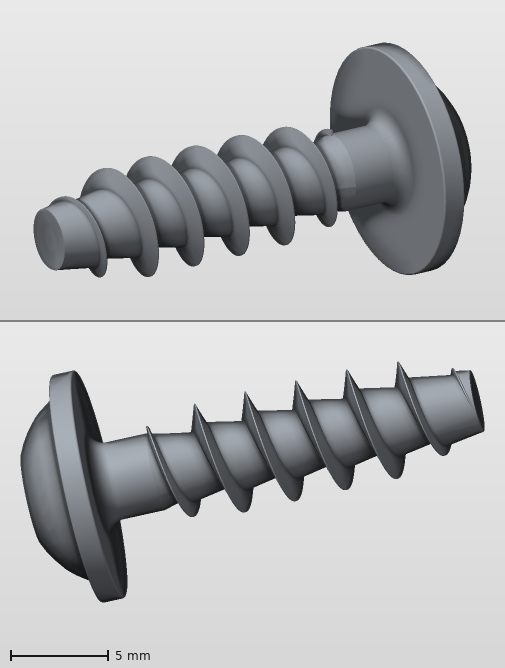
import cadquery as cq
import math

FLANGE_RADIUS = 6.0
FLANGE_THICKNESS = 1.2
FLANGE_EDGE_ROUND = 0.1
DOME_RADIUS = 5.0
DOME_FLAT_RADIUS = 2.4
DOME_BULGE = 0.3
HEAD_HEIGHT = 3.6

SHANK_RADIUS = 2.03
SHANK_LENGTH = 3.0
NECK_FILLET = 0.8
SCREW_LENGTH = 20.0

CORE_MIN_RADIUS = 1.6
CORE_MAX_RADIUS = 1.94
CORE_OVERLAP = 0.01
RUNOUT_LENGTH = 1.6
TIP_RADIUS = 1.62
TIP_DIMPLE_RADIUS = 1.5
TIP_DIMPLE_DEPTH = 0.1
TIP_TRIM_LENGTH = 5.0
TIP_CONE_SLOPE = 0.167

PITCH = 2.69
CREST_RADIUS = 3.03
CREST_HALF_WIDTH = 0.03
UPPER_FLANK_SLOPE = 0.3
LOWER_FLANK_SLOPE = 0.33
THREAD_START = 2.6
START_EDGE_STEP = 0.06
THREAD_END = 19.9
MIN_LOWER_HEIGHT = 0.1
LEAD_IN_RADIUS = 2.3
LEAD_IN_SLOPE = 0.22
RUN_OUT_START = 15.95
RUN_OUT_SLOPE = 0.35
CREST_DEPTH_AT_PLUS_X = 4.55
SEAM_DEPTH = CREST_DEPTH_AT_PLUS_X - PITCH / 8
RIBBON_INNER_RADIUS = 1.0
TURN_GAP = 0.02
POINTS_PER_TURN = 24


def crest_radius(depth):
    """Crest radius at an axial depth below the head, tapered at both thread ends."""
    lead_in = LEAD_IN_RADIUS + LEAD_IN_SLOPE * (depth - THREAD_START)
    run_out = CREST_RADIUS - RUN_OUT_SLOPE * (depth - RUN_OUT_START)
    return max(CORE_MIN_RADIUS, min(CREST_RADIUS, lead_in, run_out))


def tip_cone_radius(depth):
    return TIP_RADIUS + TIP_CONE_SLOPE * (SCREW_LENGTH - depth)


def upper_root_depth(depth):
    height = crest_radius(depth) - CORE_MIN_RADIUS + CORE_OVERLAP
    return depth - CREST_HALF_WIDTH - UPPER_FLANK_SLOPE * height


def profile(depth):
    """(depth, radius) corners of one thread turn and the core cone that follows it."""
    crest = crest_radius(depth)
    upper_root = upper_root_depth(depth)
    lower_height = max(MIN_LOWER_HEIGHT, crest - CORE_MAX_RADIUS)
    lower_root = depth + CREST_HALF_WIDTH + LOWER_FLANK_SLOPE * lower_height
    next_root = upper_root_depth(depth + PITCH) - TURN_GAP
    lower_radius = min(CORE_MAX_RADIUS, tip_cone_radius(lower_root))
    next_radius = min(CORE_MIN_RADIUS - CORE_OVERLAP, tip_cone_radius(next_root))
    corners = [
        (upper_root, RIBBON_INNER_RADIUS),
        (upper_root, CORE_MIN_RADIUS - CORE_OVERLAP),
        (depth - CREST_HALF_WIDTH, crest),
        (depth + CREST_HALF_WIDTH, crest),
        (lower_root, lower_radius),
        (next_root, next_radius),
        (next_root, RIBBON_INNER_RADIUS),
    ]
    flat_depths = [SHANK_LENGTH + START_EDGE_STEP * max(0, i - 2) for i in range(len(corners))]
    return [(max(d, flat), r) for (d, r), flat in zip(corners, flat_depths)]


def section_points(depth):
    """Profile corners placed on the meridian plane that the helix reaches at this depth."""
    angle = -2 * math.pi * (CREST_DEPTH_AT_PLUS_X - depth) / PITCH
    return [cq.Vector(r * math.cos(angle), -d, r * math.sin(angle)) for d, r in profile(depth)]


def track_faces(start, end):
    """Ruled faces that join neighbouring profile corners between two depths."""
    steps = math.ceil((end - start) / PITCH * POINTS_PER_TURN)
    sections = [section_points(start + (end - start) * i / steps) for i in range(steps + 1)]
    edges = [cq.Edge.makeSpline(list(track)) for track in zip(*sections)]
    return [cq.Face.makeRuledSurface(a, b) for a, b in zip(edges, edges[1:] + edges[:1])]


def end_face(depth):
    return cq.Face.makeFromWires(cq.Wire.makePolygon(section_points(depth), close=True))


def make_thread():
    """Helical ribbon of the thread and tapered core, built turn by turn."""
    full_turns = math.floor((THREAD_END - SEAM_DEPTH) / PITCH)
    seams = [SEAM_DEPTH + PITCH * turn for turn in range(full_turns + 1)]
    stops = [THREAD_START] + seams + [THREAD_END]
    faces = [end_face(THREAD_START), end_face(THREAD_END)]
    for start, end in zip(stops, stops[1:]):
        faces.extend(track_faces(start, end))
    ribbon = cq.Solid.makeSolid(cq.Shell.makeShell(faces))
    return cq.Workplane(obj=ribbon.fix())


def make_tip_trim():
    """Tool that cuts the overlong core and thread to a flat tip rim around a shallow dimple."""
    dimple_sphere_radius = (TIP_DIMPLE_RADIUS**2 + TIP_DIMPLE_DEPTH**2) / (2 * TIP_DIMPLE_DEPTH)
    return (
        cq.Workplane("XY")
        .moveTo(0, TIP_DIMPLE_DEPTH - SCREW_LENGTH)
        .radiusArc((TIP_DIMPLE_RADIUS, -SCREW_LENGTH), dimple_sphere_radius)
        .lineTo(FLANGE_RADIUS, -SCREW_LENGTH)
        .lineTo(FLANGE_RADIUS, -SCREW_LENGTH - TIP_TRIM_LENGTH)
        .lineTo(0, -SCREW_LENGTH - TIP_TRIM_LENGTH)
        .close()
        .revolve(360, (0, 0, 0), (0, 1, 0))
    )


def make_body():
    """Head, filleted neck, shank and overlong plain core as one revolved outline."""
    mid_radius = (DOME_RADIUS + DOME_FLAT_RADIUS) / 2
    mid_height = (FLANGE_THICKNESS + HEAD_HEIGHT) / 2
    chord_r = DOME_RADIUS - DOME_FLAT_RADIUS
    chord_y = HEAD_HEIGHT - FLANGE_THICKNESS
    chord = math.hypot(chord_r, chord_y)
    dome_mid = (mid_radius + DOME_BULGE * chord_y / chord, mid_height + DOME_BULGE * chord_r / chord)
    neck_reach = NECK_FILLET * (1 - math.sqrt(0.5))
    overlong = SCREW_LENGTH + TIP_TRIM_LENGTH - PITCH / 4
    e = FLANGE_EDGE_ROUND
    return (
        cq.Workplane("XY")
        .moveTo(0, HEAD_HEIGHT)
        .lineTo(DOME_FLAT_RADIUS, HEAD_HEIGHT)
        .threePointArc(dome_mid, (DOME_RADIUS, FLANGE_THICKNESS))
        .lineTo(FLANGE_RADIUS - e, FLANGE_THICKNESS)
        .tangentArcPoint((FLANGE_RADIUS, FLANGE_THICKNESS - e), relative=False)
        .lineTo(FLANGE_RADIUS, e)
        .tangentArcPoint((FLANGE_RADIUS - e, 0), relative=False)
        .lineTo(SHANK_RADIUS + NECK_FILLET, 0)
        .threePointArc(
            (SHANK_RADIUS + neck_reach, -neck_reach), (SHANK_RADIUS, -NECK_FILLET)
        )
        .lineTo(SHANK_RADIUS, -SHANK_LENGTH)
        .lineTo(CORE_MIN_RADIUS, -SHANK_LENGTH - RUNOUT_LENGTH)
        .lineTo(CORE_MIN_RADIUS, -overlong)
        .lineTo(0, -overlong)
        .close()
        .revolve(360, (0, 0, 0), (0, 1, 0))
    )


result = make_body().union(make_thread()).cut(make_tip_trim())